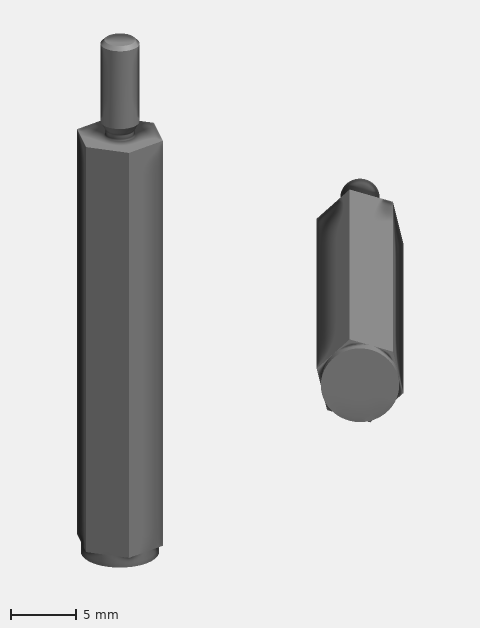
import cadquery as cq
import math

total_height = 43.0
collar_height = 1.0
stud_height = 8.0
shoulder_z = total_height - stud_height

across_flats = 6.0
collar_diameter = across_flats

stud_diameter = 3.0
tip_bevel = 0.31
neck_diameter = 2.2
undercut_height = 1.15
runout_angle = math.radians(30)
undercut_fillet = 0.15


def make_collar():
    return cq.Workplane("XY").circle(collar_diameter / 2).extrude(collar_height)


def make_body():
    """Hexagonal prism with two flats facing -Y and +Y."""
    return (
        cq.Workplane("XY", origin=(0, 0, collar_height))
        .transformed(rotate=(0, 0, 30))
        .polygon(6, across_flats, circumscribed=True)
        .extrude(shoulder_z - collar_height)
    )


def make_stud():
    """Revolved stud: filleted neck, conical thread runout, shank and bevelled tip."""
    stud_radius = stud_diameter / 2
    neck_radius = neck_diameter / 2
    tip_radius = stud_radius - tip_bevel
    fillet_center_radius = neck_radius + undercut_fillet

    foot_middle = (
        fillet_center_radius - undercut_fillet * math.cos(math.radians(45)),
        shoulder_z + undercut_fillet - undercut_fillet * math.sin(math.radians(45)),
    )

    runout_top = shoulder_z + undercut_height
    neck_corner = runout_top - (stud_radius - neck_radius) / math.tan(runout_angle)
    runout_fillet_start = neck_corner - undercut_fillet * math.tan(runout_angle / 2)

    def runout_fillet_point(angle):
        return (
            fillet_center_radius - undercut_fillet * math.cos(angle),
            runout_fillet_start + undercut_fillet * math.sin(angle),
        )

    return (
        cq.Workplane("XZ")
        .moveTo(0, shoulder_z)
        .lineTo(fillet_center_radius, shoulder_z)
        .threePointArc(foot_middle, (neck_radius, shoulder_z + undercut_fillet))
        .lineTo(neck_radius, runout_fillet_start)
        .threePointArc(runout_fillet_point(runout_angle / 2), runout_fillet_point(runout_angle))
        .lineTo(stud_radius, runout_top)
        .lineTo(stud_radius, total_height - tip_bevel)
        .lineTo(tip_radius, total_height)
        .lineTo(0, total_height)
        .close()
        .revolve(360, (0, 0, 0), (0, 1, 0))
    )


result = make_collar().union(make_body()).union(make_stud())